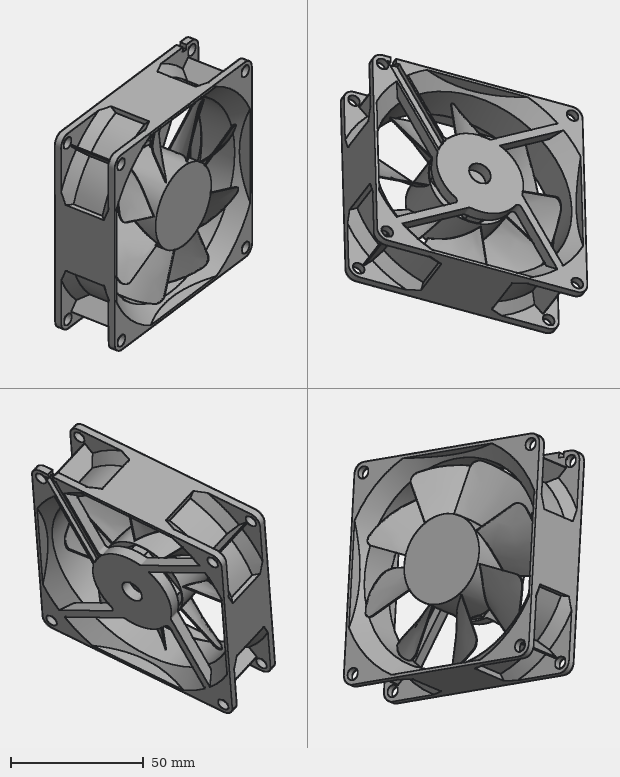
import cadquery as cq
import math

FAN_AXIS = cq.Vector(1, -0.059, 0.031)
FAN_SIDEWAYS = cq.Vector(0.06, 1, -0.0397)

FRAME_SIDE = 87.9
FRAME_DEPTH = 28.0
CORNER_RADIUS = 4.45
FLANGE_THICKNESS = 3.0
HOLE_RADIUS = 2.4
HOLE_OFFSET = 39.75

THROAT_RADIUS = 41.4
MOUTH_RADIUS = 47.6
FLARE_DEPTH = 6.3
OUTER_FLARE_DEPTH = 7.2
SIDE_WALL = 1.3
OUTER_THROAT_RADIUS = 44.4
OUTER_MOUTH_RADIUS = 51.0

POCKET_START = 14.8
WEB_THICKNESS = 0.6
WEB_TIP_RADIUS = 53.1

HUB_RADIUS = 18.2
HUB_THICKNESS = 4.6
NECK_RADIUS = 17.4
NECK_SIDE = 28.5
NECK_ANGLE = 45.0
NECK_LENGTH = 3.2
HUB_BORE_RADIUS = 4.5
STRUT_WIDTH = 3.3
STRUT_FILLET = 1.4
SHARP_STRUT = 1
STRUT_OUTER_EDGE = 12.8
STRUT_ANGLE = 60.0
STRUT_COUNT = 4

CABLE_STRUT_WIDTH = 6.3
CABLE_SLOT_WIDTH = 4.3
CABLE_SLOT_DEPTH = 1.9
CABLE_OUTER_RIB = 1.1
CABLE_RIB_START = 17.05
NOTCH_WIDTH = 2.2
NOTCH_DEPTH = 2.1
NOTCH_PLACE = 35.1

ROTOR_RADIUS = 17.8
BLADE_COUNT = 8
BLADE_TIP_RADIUS = 40.2
BLADE_ROOT_OVERLAP = 0.9
BLADE_ROOT_HALF_ANGLE = 23.5
BLADE_TIP_HALF_ANGLE = 19.0
BLADE_ANGLE = 99.0
BLADE_TIP_ROUND = 3.7
BLADE_THICKNESS = 0.6
BLADE_CAMBER = 1.85
BLADE_FRONT = 9.0
BLADE_BACK = 27.1

HALF_SIDE = FRAME_SIDE / 2
ROTOR_FRONT = HUB_THICKNESS + NECK_LENGTH
STRUT_INNER_EDGE = STRUT_OUTER_EDGE - STRUT_WIDTH
CABLE_INNER_EDGE = STRUT_OUTER_EDGE - CABLE_STRUT_WIDTH


def polar(radius, degrees):
    angle = math.radians(degrees)
    return (radius * math.cos(angle), radius * math.sin(angle))


def cylinder(radius, bottom, height):
    return cq.Workplane("XY").workplane(offset=bottom).circle(radius).extrude(height)


def hourglass(throat, mouth, flare_depth):
    """Solid of revolution with a straight middle and a flare at both ends."""
    outline = [
        (0, 0),
        (mouth, 0),
        (throat, flare_depth),
        (throat, FRAME_DEPTH - flare_depth),
        (mouth, FRAME_DEPTH),
        (0, FRAME_DEPTH),
    ]
    return cq.Workplane("XZ").polyline(outline).close().revolve(360, (0, 0), (0, 1))


def square_block(side, bottom, height):
    return cq.Workplane("XY").workplane(offset=bottom).rect(side, side).extrude(height)


def duct_opening():
    duct = hourglass(THROAT_RADIUS, MOUTH_RADIUS, FLARE_DEPTH)
    return duct.intersect(square_block(FRAME_SIDE - 2 * SIDE_WALL, 0, FRAME_DEPTH))


def corner_pockets():
    height = FRAME_DEPTH - 2 * FLANGE_THICKNESS
    reach = HALF_SIDE - POCKET_START + 0.9
    middle = POCKET_START + reach / 2
    corners = [(sx * middle, sy * middle) for sx in (-1, 1) for sy in (-1, 1)]
    base = cq.Workplane("XY").workplane(offset=FLANGE_THICKNESS)
    pockets = base.pushPoints(corners).rect(reach, reach).extrude(height)
    web = base.rect(2 * WEB_TIP_RADIUS, WEB_THICKNESS).extrude(height)
    for angle in (45, 135):
        pockets = pockets.cut(web.rotate((0, 0, 0), (0, 0, 1), angle))
    return pockets.cut(hourglass(OUTER_THROAT_RADIUS, OUTER_MOUTH_RADIUS, OUTER_FLARE_DEPTH))


def outer_frame():
    frame = square_block(FRAME_SIDE, 0, FRAME_DEPTH).edges("|Z").fillet(CORNER_RADIUS)
    holes = (
        cq.Workplane("XY")
        .rect(2 * HOLE_OFFSET, 2 * HOLE_OFFSET, forConstruction=True)
        .vertices()
        .circle(HOLE_RADIUS)
        .extrude(FRAME_DEPTH)
    )
    return frame.cut(duct_opening()).cut(corner_pockets()).cut(holes)


def bar(start, end, inner_edge, outer_edge, depth):
    """Bar along +X between two distances below the X axis."""
    return (
        cq.Workplane("XY")
        .center((start + end) / 2, -(inner_edge + outer_edge) / 2)
        .rect(end - start, outer_edge - inner_edge)
        .extrude(depth)
    )


def turned(shape, angle):
    return shape.rotate((0, 0, 0), (0, 0, 1), angle)


def rounded_corner(spider, edge_distance, angle):
    """Fillet where a strut edge at edge_distance from its radial line meets the hub rim."""
    rim_angle = angle - math.degrees(math.asin(edge_distance / HUB_RADIUS))
    corner = cq.Vector(*polar(HUB_RADIUS, rim_angle), HUB_THICKNESS / 2)
    selector = cq.selectors.NearestToPointSelector(corner.toTuple())
    return spider.edges("|Z").edges(selector).fillet(STRUT_FILLET)


def hub_and_struts():
    """Hub disc and struts; the inner corner of one strut stays sharp."""
    spider = cylinder(HUB_RADIUS, 0, HUB_THICKNESS)
    for index in range(STRUT_COUNT):
        inner_edge = CABLE_INNER_EDGE if index == 0 else STRUT_INNER_EDGE
        angle = STRUT_ANGLE + index * 360 / STRUT_COUNT
        strut = bar(0, MOUTH_RADIUS, inner_edge, STRUT_OUTER_EDGE, HUB_THICKNESS)
        spider = spider.union(turned(strut, angle))
        if index != SHARP_STRUT:
            spider = rounded_corner(spider, inner_edge, angle)
        spider = rounded_corner(spider, STRUT_OUTER_EDGE, angle)
    duct_middle = hourglass(
        (THROAT_RADIUS + OUTER_THROAT_RADIUS) / 2,
        (MOUTH_RADIUS + OUTER_MOUTH_RADIUS) / 2,
        (FLARE_DEPTH + OUTER_FLARE_DEPTH) / 2,
    )
    return spider.intersect(duct_middle)


def neck():
    """Square boss with corners rounded about the axis, against which the rotor runs."""
    boss = turned(square_block(NECK_SIDE, 0, ROTOR_FRONT), NECK_ANGLE)
    return boss.intersect(cylinder(NECK_RADIUS, 0, ROTOR_FRONT))


def cable_slot():
    """Wire slot along the first strut; its inner rib stops short of the hub."""
    outer_edge = STRUT_OUTER_EDGE - CABLE_OUTER_RIB
    inner_edge = outer_edge - CABLE_SLOT_WIDTH
    slot = bar(0, FRAME_SIDE, inner_edge, outer_edge, CABLE_SLOT_DEPTH)
    rib_gap = bar(0, CABLE_RIB_START, CABLE_INNER_EDGE - STRUT_FILLET, inner_edge, CABLE_SLOT_DEPTH)
    limit = square_block(FRAME_SIDE - 2 * NOTCH_DEPTH, 0, CABLE_SLOT_DEPTH)
    slot = turned(slot.union(rib_gap), STRUT_ANGLE).intersect(limit)
    return slot.cut(cylinder(HUB_RADIUS, 0, HUB_THICKNESS))


def cable_notch():
    return (
        cq.Workplane("XY")
        .center(NOTCH_PLACE, HALF_SIDE - NOTCH_DEPTH / 2)
        .rect(NOTCH_WIDTH, NOTCH_DEPTH)
        .extrude(FLANGE_THICKNESS)
    )


def make_housing():
    housing = outer_frame().union(hub_and_struts()).union(neck())
    housing = housing.cut(cable_slot()).cut(cable_notch())
    return housing.cut(cylinder(HUB_BORE_RADIUS, 0, HUB_THICKNESS))


def blade_section(distance, half_angle):
    """Cambered strip across the +X direction, at the given distance from the axis."""
    half = distance * math.tan(math.radians(half_angle))
    middle = (BLADE_FRONT + BLADE_BACK) / 2 + BLADE_CAMBER
    return (
        cq.Workplane("YZ")
        .workplane(offset=distance)
        .moveTo(-half, BLADE_FRONT)
        .threePointArc((0, middle), (half, BLADE_BACK - BLADE_THICKNESS))
        .lineTo(half, BLADE_BACK)
        .threePointArc((0, middle + BLADE_THICKNESS), (-half, BLADE_FRONT + BLADE_THICKNESS))
        .close()
        .wires()
        .val()
    )


def make_blade():
    root_radius = ROTOR_RADIUS - BLADE_ROOT_OVERLAP
    sheet = cq.Solid.makeLoft(
        [
            blade_section(root_radius - BLADE_ROOT_OVERLAP, BLADE_ROOT_HALF_ANGLE),
            blade_section(BLADE_TIP_RADIUS, BLADE_TIP_HALF_ANGLE),
        ],
        True,
    )
    planform = (
        cq.Workplane("XY")
        .moveTo(*polar(root_radius, -BLADE_ROOT_HALF_ANGLE))
        .lineTo(*polar(BLADE_TIP_RADIUS, -BLADE_TIP_HALF_ANGLE))
        .threePointArc((BLADE_TIP_RADIUS, 0), polar(BLADE_TIP_RADIUS, BLADE_TIP_HALF_ANGLE))
        .lineTo(*polar(root_radius, BLADE_ROOT_HALF_ANGLE))
        .close()
        .extrude(FRAME_DEPTH)
        .edges("|Z")
        .edges(">X")
        .fillet(BLADE_TIP_ROUND)
    )
    return planform.intersect(cq.Workplane(sheet))


def make_rotor():
    rotor = cylinder(ROTOR_RADIUS, ROTOR_FRONT, FRAME_DEPTH - ROTOR_FRONT)
    blade = make_blade()
    for index in range(BLADE_COUNT):
        angle = BLADE_ANGLE + index * 360 / BLADE_COUNT
        rotor = rotor.union(blade.rotate((0, 0, 0), (0, 0, 1), angle))
    return rotor


attitude = cq.Location(cq.Plane((0, 0, 0), FAN_SIDEWAYS, FAN_AXIS))
housing = make_housing().val().moved(attitude)
rotor = make_rotor().val().moved(attitude)

result = cq.Compound.makeCompound([housing, rotor])